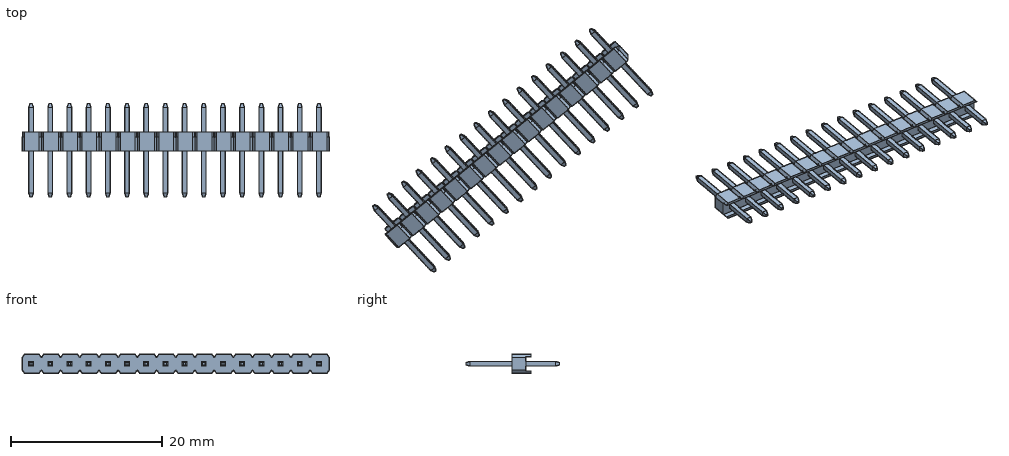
import cadquery as cq


strip_length = 40.65
pin_count = 16
pitch = strip_length / pin_count
strip_depth = 2.5
strip_height = 2.5

chamfer_width = 0.305
chamfer_height = 0.4

slot_depth = 0.7
lip_thickness = 0.335

pin_width = 0.65
pin_length = 12.4
pin_front_reach = 6.1
pin_side_shift = -0.1
tip_width = 0.305
tip_length = 0.53

strip_front_y = -strip_depth / 2
strip_rear_y = strip_depth / 2
pin_front_y = strip_front_y - pin_front_reach
pin_rear_y = pin_front_y + pin_length
cell_centers = [(i + 0.5) * pitch - strip_length / 2 for i in range(pin_count)]


def strip_outline():
    """Closed XZ outline of the strip, with sloped corners on each cell."""
    half_height = strip_height / 2
    shoulder = half_height - chamfer_height
    half_flat = pitch / 2 - chamfer_width
    top_edge = [(-strip_length / 2, shoulder)]
    for center in cell_centers:
        top_edge.append((center - half_flat, half_height))
        top_edge.append((center + half_flat, half_height))
        top_edge.append((center + pitch / 2, shoulder))
    bottom_edge = [(x, -z) for x, z in reversed(top_edge)]
    return top_edge + bottom_edge


def make_strip():
    strip = (
        cq.Workplane("XZ", origin=(0, strip_rear_y, 0))
        .polyline(strip_outline())
        .close()
        .extrude(strip_depth)
    )
    slot = cq.Workplane("XY").box(strip_length, slot_depth, strip_height - 2 * lip_thickness)
    return strip.cut(slot.translate((0, strip_rear_y - slot_depth / 2, 0)))


def make_tip(base_y, end_y):
    """Square taper from the full pin section at base_y to the blunt end at end_y."""
    return (
        cq.Workplane("XZ", origin=(0, base_y, 0))
        .rect(pin_width, pin_width)
        .workplane(offset=base_y - end_y)
        .rect(tip_width, tip_width)
        .loft(ruled=True)
    )


def make_pin():
    shank_front_y = pin_front_y + tip_length
    shank_rear_y = pin_rear_y - tip_length
    shank = (
        cq.Workplane("XZ", origin=(0, shank_rear_y, 0))
        .rect(pin_width, pin_width)
        .extrude(shank_rear_y - shank_front_y)
    )
    front_tip = make_tip(shank_front_y, pin_front_y)
    rear_tip = make_tip(shank_rear_y, pin_rear_y)
    return shank.union(front_tip).union(rear_tip)


result = make_strip()
pin = make_pin()
for center in cell_centers:
    result = result.union(pin.translate((center + pin_side_shift, 0, 0)))